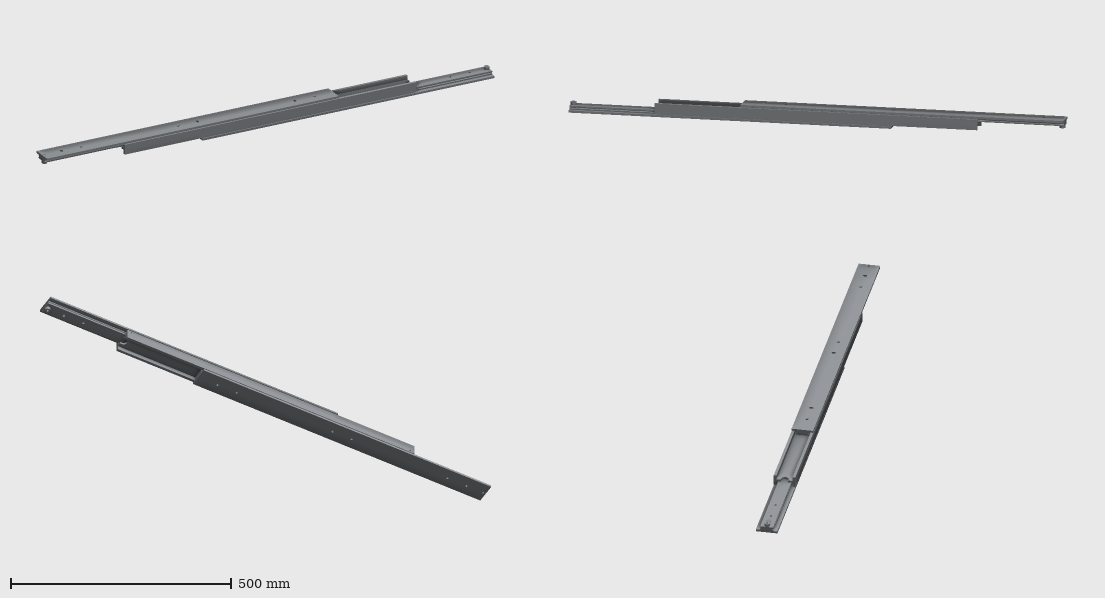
import cadquery as cq


rail_length = 750.0
extension_step = 200.0
stack_height = 38.0
slide_width = 50.0
extended_length = rail_length + 2 * extension_step

middle_height = 24.5
middle_channel_width = 37.0
web_thickness = 5.0
notch_width = 17.0
notch_depth = 13.5
wall_hole_diameter = 3.0
wall_hole_inset = 11.3
wall_hole_height = 7.0

base_thickness = 5.0
body_width = 30.0
body_bottom = 5.0
groove_radius = 1.5

pin_diameter = 13.0
pin_inset = 6.5
pin_tip = -2.0
pin_hole_diameter = 5.0

round_hole_places = [100.0, 350.0, 700.0]
slot_places = [50.0, 400.0, 650.0]
hole_diameter = 5.5
countersink_diameter = 9.0
countersink_angle = 90.0
slot_length = 10.0
slot_width = 6.0

rail_top = stack_height / 2
base_underside = rail_top - base_thickness
groove_height = (body_bottom + base_underside) / 2


def bar(width, y_start, length, z_low, z_high):
    """Rectangular bar along Y, centred on X = 0."""
    return (
        cq.Workplane("XY")
        .box(width, length, z_high - z_low, centered=(True, False, False))
        .translate((0, y_start, z_low))
    )


def outer_rail():
    """Outer rail in the upper position, with its stop pin near Y = 0."""
    rail = bar(slide_width, 0, rail_length, base_underside, rail_top)
    rail = rail.union(bar(body_width, 0, rail_length, body_bottom, rail_top))
    grooves = (
        cq.Workplane("XZ")
        .pushPoints([(side * body_width / 2, groove_height) for side in (-1, 1)])
        .circle(groove_radius)
        .extrude(-rail_length)
    )
    rail = rail.cut(grooves)
    pin = (
        cq.Workplane("XY", origin=(0, pin_inset, pin_tip))
        .circle(pin_diameter / 2)
        .extrude(body_bottom - pin_tip)
    )
    pin_hole = (
        cq.Workplane("XY", origin=(0, pin_inset, pin_tip))
        .circle(pin_hole_diameter / 2)
        .extrude(rail_top - pin_tip)
    )
    return rail.union(pin).cut(pin_hole)


def upper_rail():
    """Outer rail with countersunk holes and cross slots."""
    rail = (
        outer_rail()
        .faces(">Z")
        .workplane(origin=(0, 0, rail_top))
        .pushPoints([(0, y) for y in round_hole_places])
        .cskHole(hole_diameter, countersink_diameter, countersink_angle)
    )
    slots = (
        cq.Workplane("XY", origin=(0, 0, body_bottom))
        .pushPoints([(0, y) for y in slot_places])
        .slot2D(slot_length, slot_width)
        .extrude(rail_top - body_bottom)
    )
    return rail.cut(slots)


def lower_rail():
    """Outer rail with plain holes, turned over so its pin is at the far end."""
    holes = (
        cq.Workplane("XY", origin=(0, 0, body_bottom))
        .pushPoints([(0, y) for y in sorted(round_hole_places + slot_places)])
        .circle(hole_diameter / 2)
        .extrude(rail_top - body_bottom)
    )
    turned_over = outer_rail().cut(holes).rotate((0, 0, 0), (1, 0, 0), 180)
    return turned_over.translate((0, extended_length, 0))


def middle_rail():
    """H-shaped rail whose two channels hold the bodies of the outer rails."""
    half_height = middle_height / 2
    half_web = web_thickness / 2
    start = extension_step
    end = start + rail_length
    rail = bar(slide_width, start, rail_length, -half_height, half_height)
    rail = rail.cut(bar(middle_channel_width, start, rail_length, half_web, half_height))
    rail = rail.cut(bar(middle_channel_width, start, rail_length, -half_height, -half_web))

    notch_straight = notch_depth - notch_width / 2
    for end_y, inward in ((start, 1), (end, -1)):
        notch_centre = end_y + inward * notch_straight
        notch = (
            cq.Workplane("XY", origin=(0, 0, -half_web))
            .moveTo(-notch_width / 2, end_y)
            .lineTo(-notch_width / 2, notch_centre)
            .threePointArc((0, end_y + inward * notch_depth), (notch_width / 2, notch_centre))
            .lineTo(notch_width / 2, end_y)
            .close()
            .extrude(web_thickness)
        )
        wall_hole = (
            cq.Workplane("YZ", origin=(-slide_width / 2, 0, 0))
            .center(end_y + inward * wall_hole_inset, inward * wall_hole_height)
            .circle(wall_hole_diameter / 2)
            .extrude(slide_width)
        )
        rail = rail.cut(notch).cut(wall_hole)
    return rail


upper = upper_rail()
middle = middle_rail()
lower = lower_rail()

result = cq.Compound.makeCompound([upper.val(), middle.val(), lower.val()])